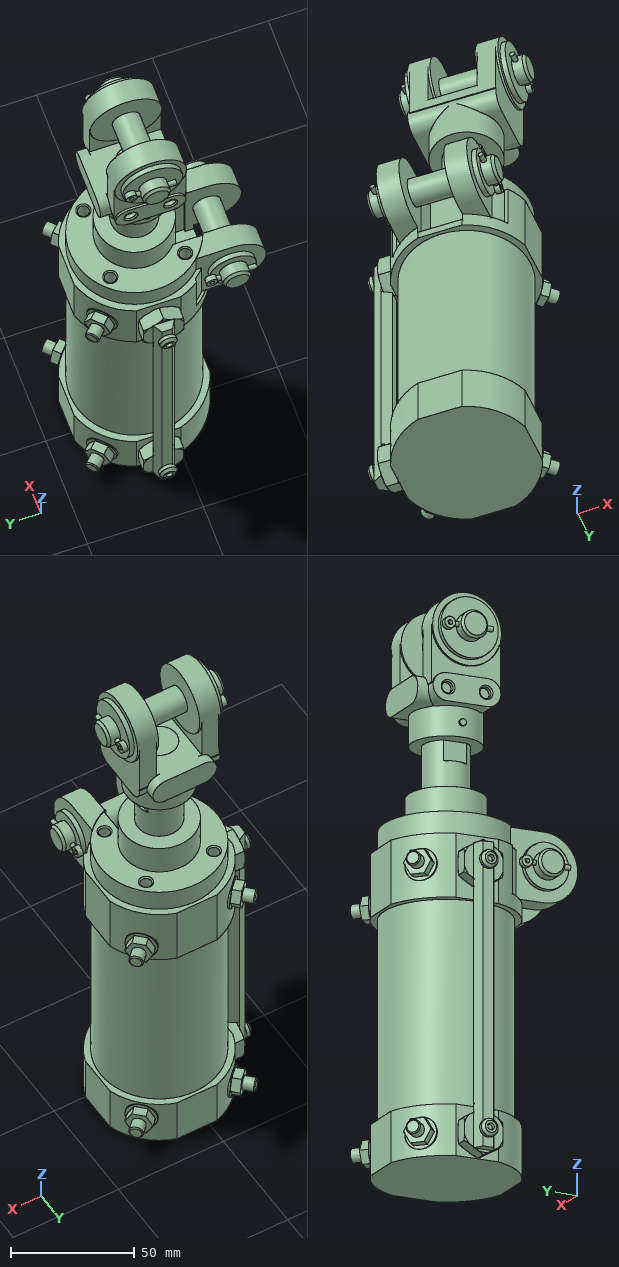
import cadquery as cq
import math


overall_height = 244.5

tube_diameter = 55.7
cap_half_width = 29.3
cap_flat_half_width = 9.5
cap_radius = math.hypot(cap_half_width, cap_flat_half_width)
base_cap_height = 22.0
head_bottom = 110.3
head_top = 137.7
ring_top = 148.0
collar_diameter = 33.5
collar_top = 162.0
ring_hole_offset = 16.1

lug_radius = 15.2
lug_pin_y = -34.7
lug_pin_z = 132.0
cheek_inner = 9.8
cheek_outer = 19.8
slot_half_width = 10.8
slot_bottom = 113.7
slot_wide_end = -25.5
relief_radius = 29.5
relief_start = -17.8

valve_boss_diameter = 13.7
valve_boss_reach = 31.0
valve_hex_flats = 10.3
valve_hex_reach = 35.2
valve_tip_diameter = 6.0
valve_tip_reach = 40.5
valve_tip_chamfer = 0.5
valve_places = [(135, 10.0), (135, 124.7), (45, 14.2), (45, 118.3)]

screw_hole_diameter = 5.0
screw_hole_mouth = 6.0

rod_diameter = 20.0
rod_bottom = head_bottom
rod_neck_diameter = 16.0
rod_flat_half_width = 8.5
rod_flat_bottom = 175.3

fork_bottom = 184.0
fork_eye_diameter = 31.0
fork_collar_diameter = 30.5
fork_pin_z = overall_height - fork_eye_diameter / 2
fork_floor = 209.0
fork_shoulder = 204.5
fork_cheek_inner = 10.8
fork_cheek_outer = 18.8
bridge_height = 12.0
bridge_middle = fork_floor - bridge_height / 2
pad_length = fork_collar_diameter
pad_reach = 20.0
pad_hole_depth = 2.5
pad_hole_offset = 8.5

lock_pin_diameter = 3.0
lock_pin_z = 190.2
lock_pin_outer = 16.1
lock_pin_inner = 6.4

pin_diameter = 12.0
pin_half_length = 27.9
pin_chamfer_length = 1.2
pin_chamfer_depth = 1.0
washer_outer = 22.0
fork_washer_diameter = 26.0
lug_washer_diameter = 20.0
cotter_diameter = 2.3
cotter_x = 23.7
cotter_tail = -9.5
cotter_eye_y = 10.0
cotter_eye_diameter = 5.0
cotter_eye_hole = 2.0
cotter_eye_thickness = 2.5

rail_flats = 8.0
rail_x = -35.5
rail_bottom = 2.2
rail_top = 132.5
rail_full_bottom = 21.3
rail_full_top = 114.0
spacer_flats = 17.4
spacer_chamfer = 1.0
spacer_heights = [10.0, 124.7]
screw_head_diameter = 7.5
screw_head_outer = -42.3
screw_head_chamfer = 1.2
screw_socket_diameter = 3.0
screw_socket_depth = 2.0


def rod_z(diameter, bottom, top):
    return cq.Workplane("XY").workplane(offset=bottom).circle(diameter / 2).extrude(top - bottom)


def rod_x(diameter, start, end, y=0.0, z=0.0):
    return cq.Workplane("YZ", origin=(start, y, z)).circle(diameter / 2).extrude(end - start)


def block(x_range, y_range, z_range):
    sizes = [high - low for low, high in (x_range, y_range, z_range)]
    corner = (x_range[0], y_range[0], z_range[0])
    return cq.Workplane("XY").box(*sizes, centered=False).translate(corner)


def hexagon_circumscribed(flats):
    """Corner-to-corner size of a hexagon with the given width across flats."""
    return flats / math.cos(math.pi / 6)


def make_cap(bottom, top):
    cap = rod_z(2 * cap_radius, bottom, top)
    span = (-cap_half_width, cap_half_width)
    return cap.intersect(block(span, span, (bottom, top)))


def make_valve(angle, z):
    """Boss, hexagon and stem pointing radially outward."""
    boss = rod_x(valve_boss_diameter, 0, valve_boss_reach)
    hexagon = cq.Workplane("YZ").polygon(6, hexagon_circumscribed(valve_hex_flats)).extrude(valve_hex_reach)
    stem = rod_x(valve_tip_diameter, 0, valve_tip_reach).faces(">X").chamfer(valve_tip_chamfer)
    valve = boss.union(hexagon).union(stem)
    return valve.rotate((0, 0, 0), (0, 0, 1), angle).translate((0, 0, z))


def make_screw_hole(depth):
    """Cutter for a hole that goes down from z = 0 with a bevelled mouth."""
    hole = rod_z(screw_hole_diameter, -depth, 0)
    bevel = (screw_hole_mouth - screw_hole_diameter) / 2
    mouth = cq.Solid.makeCone(screw_hole_diameter / 2, screw_hole_mouth / 2, bevel)
    return hole.union(cq.Workplane(mouth).translate((0, 0, -bevel)))


def make_lugs():
    """Both lugs as one bar with a rounded outer end."""
    length = 2 * cheek_outer
    eye = rod_x(2 * lug_radius, -cheek_outer, cheek_outer, lug_pin_y, lug_pin_z)
    arm = cq.Workplane("XY").box(length, -lug_pin_y, 2 * lug_radius)
    return eye.union(arm.translate((0, lug_pin_y / 2, lug_pin_z)))


def make_head_relief():
    """Side clearance next to the lugs, down to the smaller relief radius."""
    lug_bottom = lug_pin_z - lug_radius
    depth_range = (-cap_half_width, relief_start)
    relief = block((-cap_half_width, cap_half_width), depth_range, (lug_bottom, head_top))
    return relief.cut(rod_z(2 * relief_radius, lug_bottom, head_top))


def make_lug_slot():
    heights = (slot_bottom, ring_top)
    wide = block((-slot_half_width, slot_half_width), (slot_wide_end, 0), heights)
    narrow = block((-cheek_inner, cheek_inner), (lug_pin_y - lug_radius, 0), heights)
    return wide.union(narrow)


def make_housing():
    housing = make_cap(0, base_cap_height)
    housing = housing.union(make_cap(head_bottom, head_top).cut(make_head_relief()))
    housing = housing.union(rod_z(tube_diameter, 0, ring_top))
    housing = housing.union(make_lugs()).cut(make_lug_slot())
    for x in (-ring_hole_offset, ring_hole_offset):
        for y in (-ring_hole_offset, ring_hole_offset):
            housing = housing.cut(make_screw_hole(ring_top - head_top).translate((x, y, ring_top)))
    housing = housing.union(rod_z(collar_diameter, head_bottom, collar_top))
    for angle, z in valve_places:
        housing = housing.union(make_valve(angle, z))
    housing = housing.cut(rod_x(pin_diameter, -cheek_outer, cheek_outer, lug_pin_y, lug_pin_z))
    return housing.cut(rod_z(rod_diameter, rod_bottom, collar_top))


def make_lock_pin():
    return rod_x(lock_pin_diameter, -lock_pin_outer, -lock_pin_inner, z=lock_pin_z)


def make_rod():
    shank = rod_z(rod_diameter, rod_bottom, fork_bottom)
    side = rod_diameter / 2
    wrench_band = (rod_flat_bottom, fork_bottom)
    for x_range in ((-side, -rod_flat_half_width), (rod_flat_half_width, side)):
        shank = shank.cut(block(x_range, (-side, side), wrench_band))
    neck = rod_z(rod_neck_diameter, fork_bottom, fork_floor)
    return shank.union(neck).cut(make_lock_pin())


def make_pad(plane, length, start, end):
    """Round-ended bar of the bridge's height along the normal of the plane."""
    pad = cq.Workplane(plane).slot2D(length, bridge_height).extrude(end - start)
    axis = {"YZ": (start, 0, 0), "XZ": (0, -start, 0)}[plane]
    return pad.translate(axis).translate((0, 0, bridge_middle))


def make_fork():
    eye_radius = fork_eye_diameter / 2
    depth_range = (-eye_radius, eye_radius)
    fork = block((-fork_cheek_outer, fork_cheek_outer), depth_range, (fork_shoulder, fork_floor))
    fork = fork.union(rod_z(fork_collar_diameter, fork_bottom, fork_shoulder))
    fork = fork.union(make_pad("YZ", pad_length, -cheek_outer, fork_cheek_outer))
    fork = fork.union(make_pad("XZ", pad_length, -pad_reach, 0))
    for side in (-1, 1):
        inner, outer = sorted((side * fork_cheek_inner, side * fork_cheek_outer))
        fork = fork.union(block((inner, outer), depth_range, (fork_floor, fork_pin_z)))
        fork = fork.union(rod_x(fork_eye_diameter, side * cheek_inner, side * cheek_outer, z=fork_pin_z))
    for y in (-pad_hole_offset, pad_hole_offset):
        hole = make_screw_hole(pad_hole_depth).rotate((0, 0, 0), (0, 1, 0), -90)
        fork = fork.cut(hole.translate((-cheek_outer, y, bridge_middle)))
    fork = fork.cut(rod_x(pin_diameter, -cheek_outer, cheek_outer, z=fork_pin_z))
    return fork.cut(rod_z(rod_neck_diameter, fork_bottom, fork_floor)).cut(make_lock_pin())


def make_cotter(x):
    stem_length = cotter_eye_y - cotter_tail
    stem = cq.Workplane("XZ", origin=(x, cotter_eye_y, 0))
    stem = stem.circle(cotter_diameter / 2).extrude(stem_length)
    eye_start = x - cotter_eye_thickness / 2
    eye_end = x + cotter_eye_thickness / 2
    eye = rod_x(cotter_eye_diameter, eye_start, eye_end, cotter_eye_y)
    return stem.union(eye).cut(rod_x(cotter_eye_hole, eye_start, eye_end, cotter_eye_y))


def make_joint_pin(washer_diameter, y, z):
    """Chamfered pin along X with a washer and a cotter at each end."""
    pin = rod_x(pin_diameter, -pin_half_length, pin_half_length)
    pin = pin.faces("<X").chamfer(pin_chamfer_length, pin_chamfer_depth)
    pin = pin.faces(">X").chamfer(pin_chamfer_length, pin_chamfer_depth)
    for side in (-1, 1):
        pin = pin.union(rod_x(washer_diameter, side * cheek_outer, side * washer_outer))
        pin = pin.union(make_cotter(side * cotter_x))
    return pin.translate((0, y, z))


def make_spacer(z):
    """Hexagonal spacer with a corner pointing up, its corners bevelled at both ends."""
    length = -cap_half_width - rail_x
    corners = hexagon_circumscribed(spacer_flats)
    hexagon = cq.Workplane("YZ").polygon(6, corners).extrude(length)
    bevel = rod_x(corners, 0, length).edges().chamfer(spacer_chamfer / 2, spacer_chamfer)
    spacer = hexagon.intersect(bevel).rotate((0, 0, 0), (1, 0, 0), 90)
    return spacer.translate((rail_x, 0, z))


def make_rail():
    corners = hexagon_circumscribed(rail_flats)
    rail = cq.Workplane("XY").polygon(6, corners).extrude(rail_top - rail_bottom)
    rail = rail.rotate((0, 0, 0), (0, 0, 1), 90).translate((rail_x, 0, rail_bottom))
    inner_half = (rail_x, rail_x + rail_flats)
    for end_range in ((rail_bottom, rail_full_bottom), (rail_full_top, rail_top)):
        rail = rail.cut(block(inner_half, (-corners, corners), end_range))
    for z in spacer_heights:
        head = rod_x(screw_head_diameter, screw_head_outer, rail_x - rail_flats / 2, z=z)
        head = head.faces("<X").chamfer(screw_head_chamfer)
        rail = rail.union(make_spacer(z)).union(head)
        socket_end = screw_head_outer + screw_socket_depth
        rail = rail.cut(rod_x(screw_socket_diameter, screw_head_outer, socket_end, z=z))
    return rail


housing = make_housing()
piston_rod = make_rod()
fork = make_fork()
lock_pin = make_lock_pin()
fork_pin = make_joint_pin(fork_washer_diameter, 0, fork_pin_z)
lug_pin = make_joint_pin(lug_washer_diameter, lug_pin_y, lug_pin_z)
switch_rail = make_rail()

bodies = [housing, piston_rod, fork, lock_pin, fork_pin, lug_pin, switch_rail]
result = cq.Compound.makeCompound([body.val() for body in bodies])